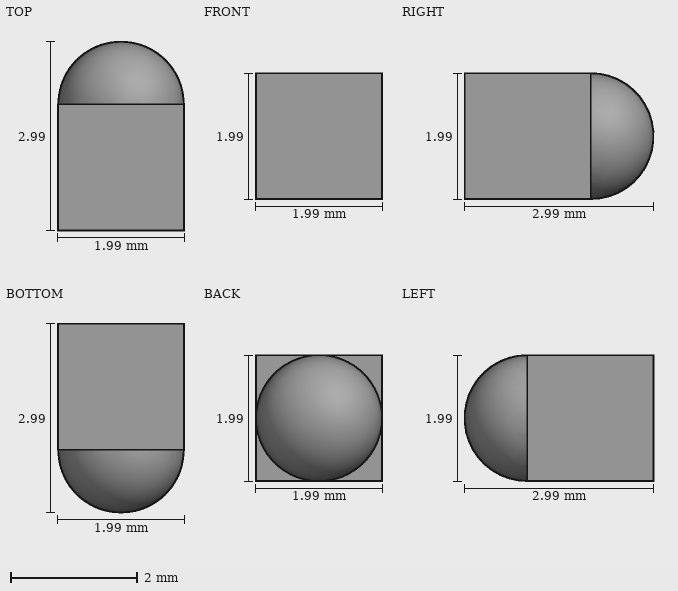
import cadquery as cq

total_length = 2.99
dome_radius = total_length / 3
cube_side = 2 * dome_radius

cube = cq.Workplane("XY").box(cube_side, cube_side, cube_side)

ball = cq.Workplane("XY").sphere(dome_radius).translate((0, cube_side / 2, 0))

result = cube.union(ball)